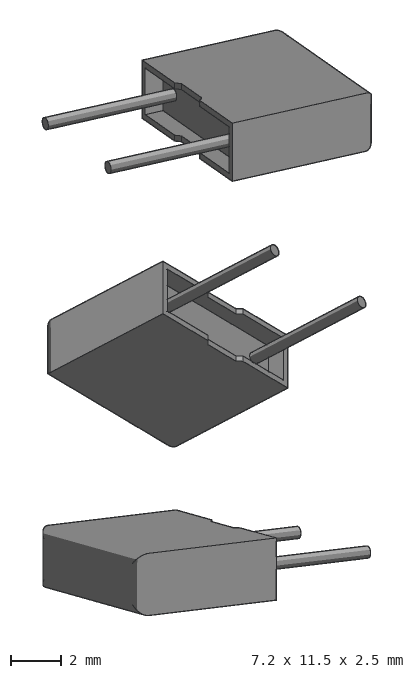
import cadquery as cq

TOTAL_LENGTH = 11.5
LEAD_PROTRUSION = 5.0
HOUSING_WIDTH = 7.2
HOUSING_HEIGHT = 2.5
HOUSING_LENGTH = TOTAL_LENGTH - LEAD_PROTRUSION
WALL = 0.25
BACK_EDGE_RADIUS = 0.5

NOTCH_WIDTH = 2.0
NOTCH_DEPTH = 0.2

FILL_RECESS = 0.8

LEAD_DIAMETER = 0.5
LEAD_PITCH = 5.0

CAVITY_WIDTH = HOUSING_WIDTH - 2 * WALL
CAVITY_HEIGHT = HOUSING_HEIGHT - 2 * WALL
CAVITY_DEPTH = HOUSING_LENGTH - WALL


def block(width, height, front_y, back_y):
    """Box centred on the Y axis, from front_y to back_y."""
    return (
        cq.Workplane("XY")
        .box(width, back_y - front_y, height, centered=(True, False, True))
        .translate((0, front_y, 0))
    )


def make_notch():
    """Trapezoid with 45 degree sides, cutting both broad walls at the open end."""
    half_mouth = NOTCH_WIDTH / 2
    half_floor = half_mouth - NOTCH_DEPTH
    return (
        cq.Workplane("XY")
        .polyline([
            (-half_mouth, 0),
            (half_mouth, 0),
            (half_floor, NOTCH_DEPTH),
            (-half_floor, NOTCH_DEPTH),
        ])
        .close()
        .extrude(HOUSING_HEIGHT / 2, both=True)
    )


def make_housing():
    """Box with a rounded closed end, hollow toward the leads."""
    shell = block(HOUSING_WIDTH, HOUSING_HEIGHT, 0, HOUSING_LENGTH)
    shell = shell.faces(">Y").edges().fillet(BACK_EDGE_RADIUS)
    cavity = block(CAVITY_WIDTH, CAVITY_HEIGHT, 0, CAVITY_DEPTH)
    return shell.cut(cavity).cut(make_notch())


def make_fill():
    """Potting compound that fills the cavity up to a set-back front face."""
    return block(CAVITY_WIDTH, CAVITY_HEIGHT, FILL_RECESS, CAVITY_DEPTH)


def make_lead(x):
    """Round wire running from the fill face out through the open end."""
    return (
        cq.Workplane("XZ", origin=(x, FILL_RECESS, 0))
        .circle(LEAD_DIAMETER / 2)
        .extrude(FILL_RECESS + LEAD_PROTRUSION)
    )


housing = make_housing()
fill = make_fill()
leads = [make_lead(side * LEAD_PITCH / 2) for side in (-1, 1)]

result = cq.Compound.makeCompound([housing.val(), fill.val(), *[lead.val() for lead in leads]])